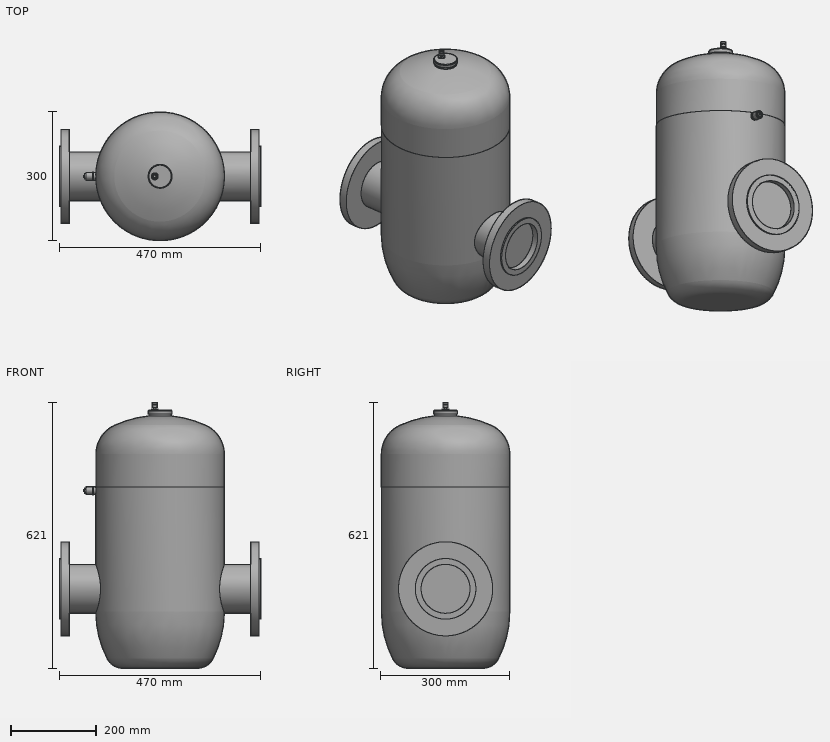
import cadquery as cq
import math

vessel_radius = 150.0
bottom_flat_radius = 87.0
bottom_side_radius = 239.5
lower_wall_z = 132.0
bottom_knuckle_z = 22.5
split_z = 423.0

head_wall_top_z = 499.0
head_knuckle_radius = 75.0
crown_edge_z = 567.0

connection_z = 185.5
connection_span = 470.0
connection_half_length = connection_span / 2
pipe_radius = 57.0
flange_radius = 110.0
flange_thickness = 20.0
raised_face_radius = 71.0
raised_face_height = 4.0
recess_depth = 15.0

side_valve_z = 414.5
side_valve_tip_x = -179.0
side_valve_steps = [
    (2.5, 2.5),
    (4.0, 6.0),
    (15.0, 9.0),
    (2.5, 10.0),
]
side_valve_neck_radius = 9.0

cap_neck_radius = 26.0
cap_radius = 28.0
cap_bottom_z = 593.0
cap_top_z = 602.5
cap_chamfer = 2.0
vent_x = -12.5
vent_steps = [
    (2.5, 8.0),
    (4.0, 3.0),
    (5.5, 6.0),
    (2.0, 5.5),
    (4.5, 6.0),
]
vent_bore_radius = 3.0
vent_bore_depth = 5.5


def point_on_circle(center, radius, angle):
    """Point at `angle` (radians, counterclockwise from +X) on a circle."""
    return (center[0] + radius * math.cos(angle), center[1] + radius * math.sin(angle))


def stacked_cylinders(workplane, steps):
    """Coaxial cylinders stacked along the workplane normal, as one solid."""
    stack = workplane.circle(steps[0][1]).extrude(steps[0][0])
    height = steps[0][0]
    for length, radius in steps[1:]:
        stack = stack.union(workplane.workplane(offset=height).circle(radius).extrude(length))
        height += length
    return stack


def vessel_shell():
    """Straight wall over a tapering lower side and a rounded bottom, all tangent."""
    side_center = (vessel_radius - bottom_side_radius, lower_wall_z)
    end_angle = -math.asin((lower_wall_z - bottom_knuckle_z) / bottom_side_radius)
    side_end = point_on_circle(side_center, bottom_side_radius, end_angle)
    side_middle = point_on_circle(side_center, bottom_side_radius, end_angle / 2)
    return (
        cq.Workplane("XZ")
        .lineTo(bottom_flat_radius, 0)
        .tangentArcPoint(side_end, relative=False)
        .threePointArc(side_middle, (vessel_radius, lower_wall_z))
        .lineTo(vessel_radius, split_z)
        .lineTo(0, split_z)
        .close()
        .revolve(360, (0, 0, 0), (0, 1, 0))
    )


def pipe_connection(side):
    """Pipe, flange and raised face on one side: -1 for -X, +1 for +X."""
    pipe_length = connection_half_length - raised_face_height
    plane = cq.Workplane("YZ", origin=(0, 0, connection_z))
    pipe = plane.circle(pipe_radius).extrude(side * pipe_length)
    flange = (
        plane.workplane(offset=side * pipe_length)
        .circle(flange_radius)
        .extrude(-side * flange_thickness)
    )
    raised_face = (
        plane.workplane(offset=side * connection_half_length)
        .circle(raised_face_radius)
        .extrude(-side * flange_thickness)
    )
    recess = (
        plane.workplane(offset=side * connection_half_length)
        .circle(pipe_radius)
        .extrude(-side * recess_depth)
    )
    return pipe.union(flange).union(raised_face).cut(recess)


def side_valve():
    """Stepped valve whose neck runs into the vessel wall."""
    steps_length = sum(length for length, _ in side_valve_steps)
    neck_length = -side_valve_tip_x - steps_length - vessel_radius / 2
    plane = cq.Workplane("YZ", origin=(side_valve_tip_x, 0, side_valve_z))
    return stacked_cylinders(plane, side_valve_steps + [(neck_length, side_valve_neck_radius)])


def build_vessel():
    vessel = vessel_shell()
    for side in (-1, 1):
        vessel = vessel.union(pipe_connection(side))
    return vessel.union(side_valve())


def head_shell():
    """Straight skirt, knuckle and spherical crown, all tangent."""
    knuckle_center = (vessel_radius - head_knuckle_radius, head_wall_top_z)
    crown_angle = math.asin((crown_edge_z - head_wall_top_z) / head_knuckle_radius)
    crown_edge = point_on_circle(knuckle_center, head_knuckle_radius, crown_angle)
    knuckle_middle = point_on_circle(knuckle_center, head_knuckle_radius, crown_angle / 2)
    crown_radius = crown_edge[0] / math.cos(crown_angle)
    crown_center = (0, crown_edge[1] - crown_radius * math.sin(crown_angle))
    crown_middle = point_on_circle(crown_center, crown_radius, (crown_angle + math.pi / 2) / 2)
    return (
        cq.Workplane("XZ")
        .moveTo(0, split_z)
        .lineTo(vessel_radius, split_z)
        .lineTo(vessel_radius, head_wall_top_z)
        .threePointArc(knuckle_middle, crown_edge)
        .threePointArc(crown_middle, (0, crown_center[1] + crown_radius))
        .close()
        .revolve(360, (0, 0, 0), (0, 1, 0))
    )


def cap():
    """Chamfered cap on a neck that runs down into the crown."""
    neck = (
        cq.Workplane("XY", origin=(0, 0, crown_edge_z))
        .circle(cap_neck_radius)
        .extrude(cap_bottom_z - crown_edge_z)
    )
    lid = (
        cq.Workplane("XY", origin=(0, 0, cap_bottom_z))
        .circle(cap_radius)
        .extrude(cap_top_z - cap_bottom_z)
        .faces(">Z")
        .chamfer(cap_chamfer)
    )
    return neck.union(lid)


def air_vent():
    """Stepped vent with a blind bore in its top."""
    plane = cq.Workplane("XY", origin=(vent_x, 0, cap_top_z))
    vent_height = sum(height for height, _ in vent_steps)
    bore = plane.workplane(offset=vent_height).circle(vent_bore_radius).extrude(-vent_bore_depth)
    return stacked_cylinders(plane, vent_steps).cut(bore)


def build_head():
    return head_shell().union(cap()).union(air_vent())


vessel = build_vessel()
head = build_head()

result = cq.Compound.makeCompound([vessel.solids().val(), head.solids().val()])